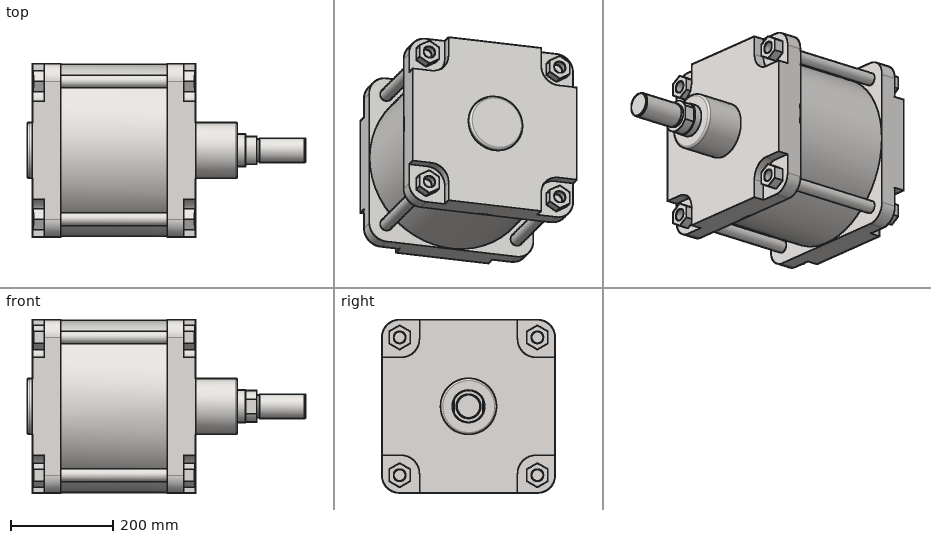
import cadquery as cq
import math


plate_side = 340
plate_corner_radius = 35
plate_thickness = 56
cover_span = 320

boss_diameter = 110
rear_boss_length = 10
front_boss_length = 82
boss_edge_radius = 4

tie_offset = plate_side / 2 - plate_corner_radius
tie_rod_diameter = 25
hex_across_flats = 41
hex_height = 21
hex_bore_diameter = 22.5
hex_bore_depth = 20
hex_bore_chamfer = 0.75

pocket_depth = 23
pocket_radius = 36
pocket_reach = 74

barrel_diameter = 338
barrel_length = cover_span - 2 * plate_thickness

collar_diameter = 64
collar_length = 16
collar_chamfer = 1
wrench_diameter = 62
wrench_length = 22
wrench_across_flats = 55
relief_diameter = 45
relief_length = 5
relief_chamfer_length = 1
thread_diameter = 48
thread_length = 90
thread_chamfer_length = 3

corners = [(y, z) for y in (-tie_offset, tie_offset) for z in (-tie_offset, tie_offset)]


def cylinder(x, length, diameter):
    """Cylinder on the X axis, from x to x + length."""
    return cq.Workplane("YZ", origin=(x, 0, 0)).circle(diameter / 2).extrude(length)


def corner_pocket(y, z):
    """Pocket cutter at one plate corner, from X = 0 inwards, with a round inner corner."""
    edge = plate_side / 2
    centre = edge - pocket_reach / 2
    inner_corner = "|X and {}Y and {}Z".format("<" if y > 0 else ">", "<" if z > 0 else ">")
    return (
        cq.Workplane("YZ", origin=(0, math.copysign(centre, y), math.copysign(centre, z)))
        .rect(pocket_reach, pocket_reach)
        .extrude(pocket_depth)
        .edges(inner_corner)
        .fillet(pocket_radius)
    )


def cover(boss_length):
    """Cover with its outer plate face at X = 0 and its boss pointing to -X."""
    body = (
        cq.Workplane("YZ")
        .rect(plate_side, plate_side)
        .extrude(plate_thickness)
        .edges("|X")
        .fillet(plate_corner_radius)
    )
    for y, z in corners:
        body = body.cut(corner_pocket(y, z))
    rod_holes = cq.Workplane("YZ").pushPoints(corners).circle(tie_rod_diameter / 2).extrude(plate_thickness)
    boss = cylinder(-boss_length, boss_length, boss_diameter).faces("<X").edges().fillet(boss_edge_radius)
    return body.cut(rod_holes).union(boss)


def hex_end(x):
    """Hexagonal tie rod end starting at x, with two flats facing +Y and -Y."""
    across_corners = hex_across_flats / math.cos(math.pi / 6)
    return (
        cq.Workplane("YZ", origin=(x, 0, 0))
        .polygon(6, across_corners)
        .extrude(hex_height)
        .rotate((0, 0, 0), (1, 0, 0), 30)
    )


def tie_rod(y, z):
    """Tie rod with a bored hexagonal end seated in the pocket of each cover."""
    rear_seat = pocket_depth
    front_seat = cover_span - pocket_depth
    rear_end = rear_seat - hex_height
    front_end = front_seat + hex_height
    body = cylinder(rear_seat, front_seat - rear_seat, tie_rod_diameter)
    body = body.union(hex_end(rear_end)).union(hex_end(front_seat))
    body = body.cut(cylinder(rear_end, hex_bore_depth, hex_bore_diameter))
    body = body.cut(cylinder(front_end - hex_bore_depth, hex_bore_depth, hex_bore_diameter))
    body = body.faces("<X or >X").edges("%CIRCLE").chamfer(hex_bore_chamfer)
    return body.translate((0, y, z))


def piston_rod():
    """Stepped rod: collar, wrench flats facing +Y and -Y, relief and threaded end."""
    start = cover_span + front_boss_length
    collar_end = start + collar_length
    wrench_end = collar_end + wrench_length
    thread_start = wrench_end + relief_length
    tip = thread_start + relief_chamfer_length + thread_length
    outline = [
        (start, 0),
        (start, collar_diameter / 2),
        (collar_end - collar_chamfer, collar_diameter / 2),
        (collar_end, wrench_diameter / 2),
        (wrench_end, wrench_diameter / 2),
        (wrench_end, relief_diameter / 2),
        (thread_start, relief_diameter / 2),
        (thread_start + relief_chamfer_length, thread_diameter / 2),
        (tip - thread_chamfer_length, thread_diameter / 2),
        (tip, relief_diameter / 2),
        (tip, 0),
    ]
    body = cq.Workplane("XY").polyline(outline).close().revolve(360, (0, 0, 0), (1, 0, 0))
    wrench_stock = cylinder(collar_end, wrench_length, collar_diameter)
    wrench_core = (
        cq.Workplane("YZ", origin=(collar_end, 0, 0))
        .rect(wrench_across_flats, collar_diameter)
        .extrude(wrench_length)
    )
    return body.cut(wrench_stock.cut(wrench_core))


rear_cover = cover(rear_boss_length)
front_cover = cover(front_boss_length).rotate((0, 0, 0), (0, 0, 1), 180).translate((cover_span, 0, 0))
barrel = cylinder(plate_thickness, barrel_length, barrel_diameter)
rod = piston_rod()
tie_rods = [tie_rod(y, z) for y, z in corners]

result = cq.Compound.makeCompound(
    [rear_cover.val(), front_cover.val(), barrel.val(), rod.val()] + [item.val() for item in tie_rods]
)